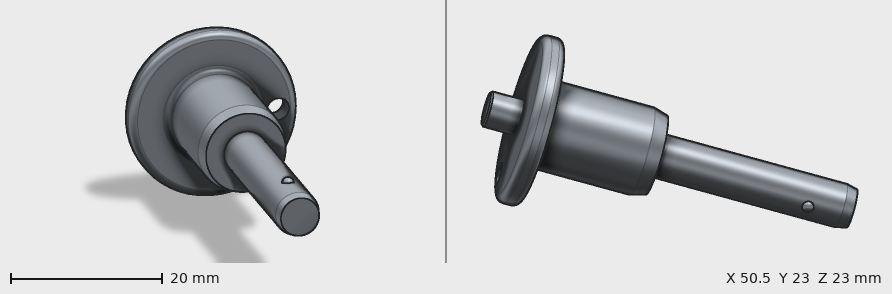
import cadquery as cq

TOTAL_LENGTH = 50.5
FLANGE_START = 4.5
FLANGE_THICKNESS = 3.05
HANDLE_END = 23.5
FLANGE_END = FLANGE_START + FLANGE_THICKNESS

BUTTON_RADIUS = 2.4
BUTTON_CHAMFER = 0.25

FLANGE_DIAMETER = 23.0
FLANGE_RADIUS = FLANGE_DIAMETER / 2
FLANGE_ROUND = 1.0
HUB_RADIUS = 6.0
HUB_FILLET = 0.9
HUB_TAPER_LENGTH = 2.0
HUB_TAPER_DEPTH = 0.55
LANYARD_HOLE_RADIUS = 1.5
LANYARD_HOLE_OFFSET = 8.8

SHANK_RADIUS = 3.0
SHANK_TAPER_LENGTH = 1.5
SHANK_TAPER_DEPTH = 0.35

BALL_RADIUS = 0.8
BALL_X = 44.45
BALL_PROTRUSION = 0.55
BALL_CENTER_OFFSET = SHANK_RADIUS + BALL_PROTRUSION - BALL_RADIUS


def cylinder_along_x(start, end, radius):
    return cq.Workplane("YZ", origin=(start, 0, 0)).circle(radius).extrude(end - start)


def make_ball(side):
    """Locking ball; side is +1 for the upper ball and -1 for the lower one."""
    return cq.Workplane("XY", origin=(BALL_X, 0, side * BALL_CENTER_OFFSET)).sphere(BALL_RADIUS)


def make_button():
    button = cylinder_along_x(0, FLANGE_START, BUTTON_RADIUS)
    return button.faces("<X").chamfer(BUTTON_CHAMFER)


def make_handle():
    flange = cylinder_along_x(FLANGE_START, FLANGE_END, FLANGE_RADIUS).edges().fillet(FLANGE_ROUND)
    hub = cylinder_along_x(FLANGE_END, HANDLE_END, HUB_RADIUS)
    hub = hub.faces(">X").edges().chamfer(HUB_TAPER_LENGTH, HUB_TAPER_DEPTH)
    handle = flange.union(hub)
    flange_back = cq.selectors.NearestToPointSelector((FLANGE_END, 0, 0))
    handle = handle.faces(flange_back).edges(cq.selectors.RadiusNthSelector(0)).fillet(HUB_FILLET)
    lanyard_hole = cylinder_along_x(FLANGE_START, FLANGE_END, LANYARD_HOLE_RADIUS)
    return handle.cut(lanyard_hole.translate((0, LANYARD_HOLE_OFFSET, 0)))


def make_shank():
    shank = cylinder_along_x(HANDLE_END, TOTAL_LENGTH, SHANK_RADIUS)
    return shank.faces(">X").edges().chamfer(SHANK_TAPER_LENGTH, SHANK_TAPER_DEPTH)


def make_pin(balls):
    """Button, handle and shank in one piece, with a matching socket for each ball."""
    pin = make_handle().union(make_button()).union(make_shank())
    for ball in balls:
        pin = pin.cut(ball)
    return pin


balls = [make_ball(side) for side in (1, -1)]
pin = make_pin(balls)

result = cq.Compound.makeCompound([pin.val(), *[ball.val() for ball in balls]])